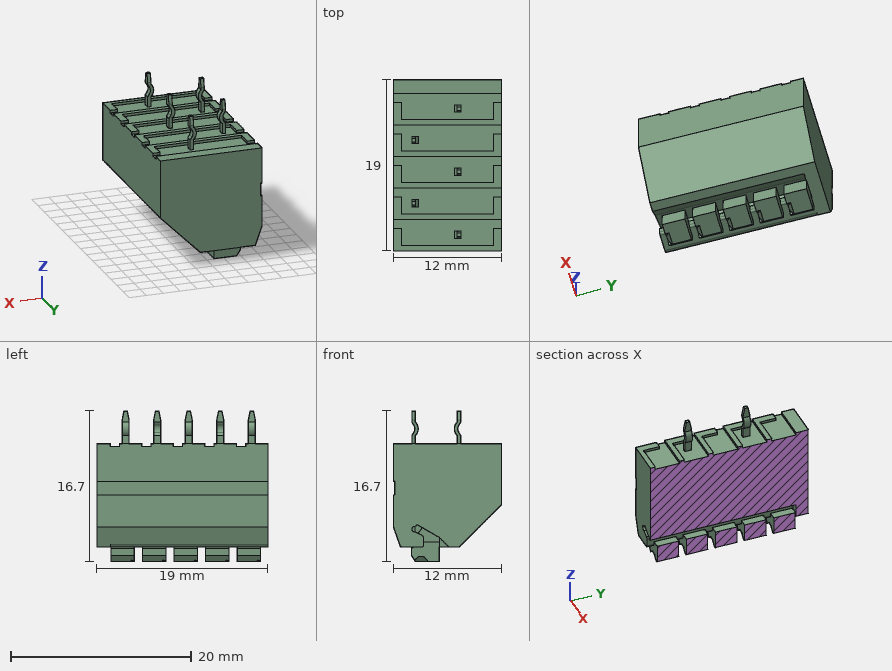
import cadquery as cq
import math

pitch = 3.5
module_count = 5
end_plate = 1.5
row_length = module_count * pitch

width = 12.0
height = 11.5
slope_height = 4.7
slope_foot_x = width - slope_height
toe_x = 0.8
toe_height = 2.25
toe_edge_radius = 0.45

groove_depth = 0.15
groove_bottom = 5.8
groove_height = 1.5

recess_depth = 0.3
recess_bar = 1.0
recess_front_wall = 0.6
recess_side_wall = 0.88

hook_x = 3.35
hook_edge_radius = 0.25
hook_top_z = 1.15
ledge_start_x = 3.15
ledge_start_z = 1.35
lobe_x = 2.42
lobe_bottom_z = 1.7
lobe_top_z = 2.3
lobe_tip_x = 2.06
slot_peak_x = 2.65
slot_peak_z = 2.5
roof_angle = 30.0
slot_step_roof_x = 3.22
slot_step_ledge_x = 2.75
slot_step_depth = 1.5

lever_offset = 0.82
lever_length = 2.62
lever_left = 2.0
lever_right = 5.1
lever_drop = 1.6
lever_top = 0.58
lever_lip = 0.13
lever_lip_x = 2.2
lever_bevel_x = 2.45
lever_bevel_z = -0.9
lever_root_x = 3.0

notch_height = 0.58
notch_depth = 0.45
notch_left = 2.2
notch_right = 3.9
notch_top_left = 2.8
notch_top_right = 3.35

pin_spacing = 5.03
left_pin_x = 2.25
right_pin_x = left_pin_x + pin_spacing
pin_y = 1.8
pin_thickness = 0.4
pin_width = 0.8
pin_tip_width = 0.4
pin_top = height + 3.6
pin_taper = 1.0
pin_embed = 1.0
bend_middle_z = height + 1.63
bend_half_height = 0.74
bend_offset = 0.32
bend_inner_arc_half = 0.41
bend_inner_arc_rise = 0.12

roof_end_z = slot_peak_z - (lever_right - slot_peak_x) * math.tan(math.radians(roof_angle))
slot_foot_x = lever_right + roof_end_z


def along_y(profile, start, length):
    """Extrude a closed XZ profile from Y = start towards +Y."""
    return profile.extrude(-length).translate((0, start, 0))


def box(x0, x1, y0, y1, z0, z1):
    return cq.Workplane("XY").box(x1 - x0, y1 - y0, z1 - z0, centered=False).translate((x0, y0, z0))


def housing_prism(start, length):
    outline = [
        (toe_x, 0),
        (slope_foot_x, 0),
        (width, slope_height),
        (width, height),
        (0, height),
        (0, toe_height),
    ]
    return along_y(cq.Workplane("XZ").polyline(outline).close(), start, length)


def make_housing():
    toe_edge = cq.selectors.NearestToPointSelector((toe_x, row_length / 2, 0))
    row = housing_prism(0, row_length).edges(toe_edge).fillet(toe_edge_radius)
    body = row.union(housing_prism(row_length, end_plate))
    groove = box(0, groove_depth, 0, row_length + end_plate, groove_bottom, groove_bottom + groove_height)
    return body.cut(groove)


def make_recess(start):
    floor = height - recess_depth
    end = start + pitch
    bar = box(0, width, end - recess_bar, end, floor, height)
    field = box(recess_side_wall, width - recess_side_wall, start + recess_front_wall, end, floor, height)
    return bar.union(field)


def make_slot():
    """Lever channel, a sloped relief on its right, and a shallower step and lobe at its upper left end."""
    roof_slope = math.tan(math.radians(roof_angle))
    step_roof_z = slot_peak_z - (slot_step_roof_x - slot_peak_x) * roof_slope
    ledge_slope = (lobe_bottom_z - ledge_start_z) / (ledge_start_x - lobe_x)
    step_ledge_z = ledge_start_z + (ledge_start_x - slot_step_ledge_x) * ledge_slope
    corner = hook_edge_radius * (1 - math.sqrt(0.5))

    channel = (
        cq.Workplane("XZ")
        .moveTo(lever_right, 0)
        .lineTo(hook_x - hook_edge_radius, 0)
        .threePointArc((hook_x - corner, corner), (hook_x, hook_edge_radius))
        .lineTo(hook_x, hook_top_z)
        .lineTo(ledge_start_x, ledge_start_z)
        .lineTo(slot_step_ledge_x, step_ledge_z)
        .lineTo(slot_step_roof_x, step_roof_z)
        .lineTo(lever_right, roof_end_z)
        .close()
    )
    step = (
        cq.Workplane("XZ")
        .moveTo(slot_step_ledge_x, step_ledge_z)
        .lineTo(lobe_x, lobe_bottom_z)
        .lineTo(lobe_x, lobe_top_z)
        .lineTo(slot_peak_x, slot_peak_z)
        .lineTo(slot_step_roof_x, step_roof_z)
        .close()
    )
    lobe = (
        cq.Workplane("XZ")
        .moveTo(lobe_x, lobe_bottom_z)
        .threePointArc((lobe_tip_x, (lobe_bottom_z + lobe_top_z) / 2), (lobe_x, lobe_top_z))
        .close()
    )
    relief = (
        cq.Workplane("XZ")
        .moveTo(lever_right, 0)
        .lineTo(slot_foot_x, 0)
        .lineTo(lever_right, roof_end_z)
        .close()
    )
    last_lever_end = row_length - pitch + lever_offset + lever_length
    slot = along_y(channel, 0, row_length)
    slot = slot.union(along_y(relief, 0, last_lever_end))
    slot = slot.union(along_y(step, 0, slot_step_depth))
    return slot.union(along_y(lobe, 0, lever_offset))


def make_lever(start):
    front = start + lever_offset
    outline = [
        (lever_bevel_x, -lever_drop),
        (lever_right, -lever_drop),
        (lever_right, lever_top),
        (hook_x, lever_top),
        (hook_x, hook_edge_radius),
        (lever_root_x, hook_edge_radius),
        (lever_root_x, 0),
        (lever_lip_x, 0),
        (lever_left, -lever_lip),
        (lever_left, lever_bevel_z),
    ]
    lever = along_y(cq.Workplane("XZ").polyline(outline).close(), front, lever_length)

    notch_top = notch_height - lever_drop
    notch_face = [
        (notch_left, -lever_drop),
        (notch_right, -lever_drop),
        (notch_top_right, notch_top),
        (notch_top_left, notch_top),
    ]
    ramp_side = [
        (front, -lever_drop),
        (front + notch_depth, -lever_drop),
        (front, notch_top),
    ]
    notch = along_y(cq.Workplane("XZ").polyline(notch_face).close(), front, notch_depth)
    ramp = cq.Workplane("YZ").polyline(ramp_side).close().extrude(width)
    return lever.cut(notch.intersect(ramp))


def make_pin(x, start, bend_direction):
    """Flat pin with a sideways bend and a tapered tip; bend_direction is +1 or -1 along X."""
    half = pin_thickness / 2
    low = bend_middle_z - bend_half_height
    high = bend_middle_z + bend_half_height
    arc_low = bend_middle_z - bend_inner_arc_half
    arc_high = bend_middle_z + bend_inner_arc_half
    inner_peak = bend_offset - half
    inner_arc_end = inner_peak - bend_inner_arc_rise
    base = height - pin_embed

    def at(offset, z):
        return (x + bend_direction * offset, z)

    side = (
        cq.Workplane("XZ")
        .moveTo(*at(half, base))
        .lineTo(*at(half, low))
        .threePointArc(at(half + bend_offset, bend_middle_z), at(half, high))
        .lineTo(*at(half, pin_top))
        .lineTo(*at(-half, pin_top))
        .lineTo(*at(-half, high))
        .lineTo(*at(inner_arc_end, arc_high))
        .threePointArc(at(inner_peak, bend_middle_z), at(inner_arc_end, arc_low))
        .lineTo(*at(-half, low))
        .lineTo(*at(-half, base))
        .close()
    )
    middle = start + pin_y
    taper_z = pin_top - pin_taper
    face = [
        (middle - pin_width / 2, base),
        (middle + pin_width / 2, base),
        (middle + pin_width / 2, taper_z),
        (middle + pin_tip_width / 2, pin_top),
        (middle - pin_tip_width / 2, pin_top),
        (middle - pin_width / 2, taper_z),
    ]
    strip = along_y(side, middle - pin_width / 2, pin_width)
    return strip.intersect(cq.Workplane("YZ").polyline(face).close().extrude(width))


result = make_housing().cut(make_slot())
for index in range(module_count):
    module_start = index * pitch
    result = result.cut(make_recess(module_start))
    result = result.union(make_lever(module_start))
    if index % 2 == 0:
        result = result.union(make_pin(right_pin_x, module_start, -1))
    else:
        result = result.union(make_pin(left_pin_x, module_start, 1))